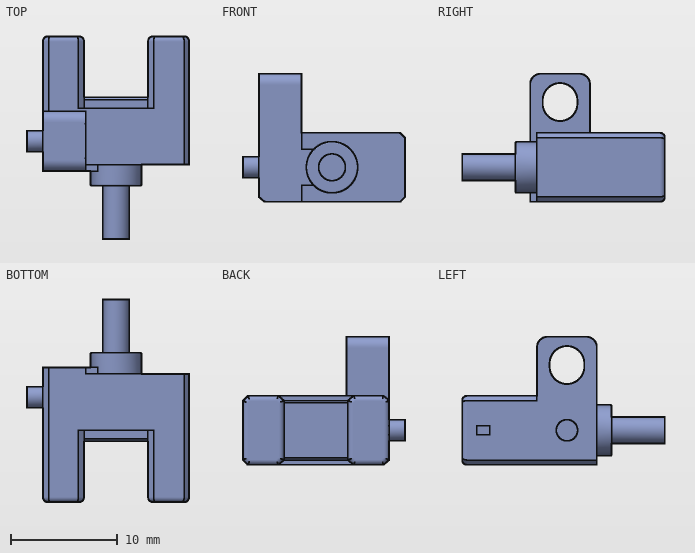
import cadquery as cq

total_length = 19.0
total_width = 15.2
total_height = 12.0

pin_length = 1.5
body_left = pin_length
body_height = 6.48
body_front = 7.0
arm_width = 3.85
slot_floor = 13.3
edge_bevel = 0.48
bevel_width = 0.53
bevel_height = 0.45
tip_radius = 0.48
ledge_back = 12.25
ledge_depth = bevel_height
ledge_edge_bevel = 0.23

plate_thickness = 4.0
plate_front = 6.36
plate_depth = 5.62
plate_radius = 1.0
hole_width = 3.23
hole_height = 3.53
hole_z = 9.35

pin_diameter = 2.0
collar_diameter = 4.8
collar_front = 5.0
collar_radius = 0.15
cable_diameter = 2.5
tab_length = 1.14
tab_height = 3.4

window_length = 1.24
window_height = 0.82
window_y = 17.0
window_depth = 0.15

body_middle_x = (body_left + total_width) / 2
body_middle_z = body_height / 2
plate_right = body_left + plate_thickness
plate_middle_y = plate_front + plate_depth / 2
slot_left = body_left + arm_width
slot_right = total_width - arm_width


def block(x0, x1, y0, y1, z0, z1):
    """Box between two opposite corners."""
    return cq.Workplane("XY").box(x1 - x0, y1 - y0, z1 - z0, centered=False).translate((x0, y0, z0))


def bar_along_y(x0, x1, y0, y1, left_bevel, right_bevel):
    """Full-height bar along Y; each bevel is a (width, height) pair used at top and bottom."""
    left_w, left_h = left_bevel
    right_w, right_h = right_bevel
    points = [
        (x0 + left_w, 0),
        (x1 - right_w, 0),
        (x1, right_h),
        (x1, body_height - right_h),
        (x1 - right_w, body_height),
        (x0 + left_w, body_height),
        (x0, body_height - left_h),
        (x0, left_h),
    ]
    profile = cq.Workplane("XZ", origin=(0, y1, 0)).polyline(points).close()
    return profile.extrude(y1 - y0)


def cylinder_along_y(diameter, y0, y1):
    """Cylinder on the cable axis."""
    start = cq.Workplane("XZ", origin=(body_middle_x, y1, body_middle_z))
    return start.circle(diameter / 2).extrude(y1 - y0)


def make_body():
    wide_bevel = (bevel_width, bevel_height)
    right_bevel = (edge_bevel, edge_bevel)
    base = bar_along_y(body_left, total_width, body_front, ledge_back, wide_bevel, right_bevel)
    left_arm = bar_along_y(body_left, slot_left, ledge_back, total_length, wide_bevel, wide_bevel)
    right_arm = bar_along_y(slot_right, total_width, ledge_back, total_length, wide_bevel, right_bevel)
    left_arm = left_arm.faces(">Y").edges().fillet(tip_radius)
    right_arm = right_arm.faces(">Y").edges().fillet(tip_radius)

    bridge = block(slot_left, slot_right, ledge_back, slot_floor, ledge_depth, body_height - ledge_depth)
    bridge = bridge.faces(">Y").edges("|X").chamfer(ledge_edge_bevel)
    return base.union(left_arm).union(right_arm).union(bridge)


def make_plate():
    plate = block(body_left, plate_right, plate_front, plate_front + plate_depth, 0, total_height)
    plate = plate.edges("|X and >Z").fillet(plate_radius)

    bevel = (
        cq.Workplane("XZ", origin=(0, plate_front + plate_depth, 0))
        .polyline([(body_left, 0), (body_left + bevel_width, 0), (body_left, bevel_height)])
        .close()
        .extrude(plate_depth)
    )

    hole = (
        cq.Workplane("YZ", origin=(body_left, plate_middle_y, hole_z))
        .slot2D(hole_height, hole_width, 90)
        .extrude(plate_thickness)
    )
    return plate.cut(bevel).cut(hole)


def make_pin():
    start = cq.Workplane("YZ", origin=(0, plate_middle_y, body_middle_z))
    return start.circle(pin_diameter / 2).extrude(plate_right)


def make_cable():
    collar = cylinder_along_y(collar_diameter, collar_front, body_front)
    collar = collar.faces("<Y").edges().fillet(collar_radius)
    return collar.union(cylinder_along_y(cable_diameter, 0, body_front))


def make_tab():
    half_height = tab_height / 2
    return block(
        plate_right, plate_right + tab_length,
        plate_front, body_front,
        body_middle_z - half_height, body_middle_z + half_height,
    )


def make_window():
    start = cq.Workplane("YZ", origin=(body_left, window_y, body_middle_z))
    return start.rect(window_length, window_height).extrude(window_depth)


result = (
    make_body()
    .union(make_plate())
    .union(make_pin())
    .union(make_cable())
    .union(make_tab())
    .cut(make_window())
)